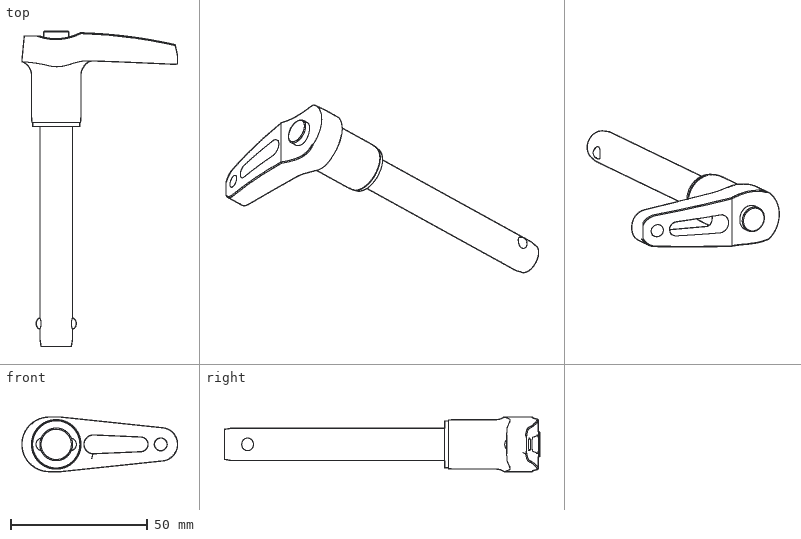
import cadquery as cq
import math


shank_radius = 6.0
shank_length = 80.7
tip_radius = 5.55
tip_taper_length = 2.6
ball_radius = 2.35
ball_reach = 7.4
ball_level = -72.2

sleeve_radius = 9.1
collar_radius = 8.65
collar_height = 1.4
sleeve_taper_radius = 8.95
sleeve_taper_top = 3.5
sleeve_top = 18.8
flare_radius = 5.25
button_radius = 4.65
button_top = 35.0
button_edge = 0.35

total_length = 57.1
total_width = 20.21
half_width = total_width / 2
head_radius = 10.03
head_end = -12.6
tip_end = head_end + total_length
flat_start = -1.4
flat_end = 1.06
side_taper = math.radians(6)
nose_start = 38.9
nose_center = 38.3

underside = sleeve_top + flare_radius
underside_bend_start = 11.4
underside_middle = (21.0, 23.75)
head_top = 33.2
scoop_radius = 20.0
scoop_floor = 32.2
scoop_start = -math.sqrt(scoop_radius**2 - (scoop_radius + scoop_floor - head_top) ** 2)
crest = (8.9, 34.4)
back_middle = (26.0, 33.1)
nose_top = (43.6, 30.0)
nose_face_bottom = 26.0
nose_lip = (43.3, 22.75)
nose_lip_rise = 0.15
top_edge = 0.35

facet_radius = 11.2
facet_tilt = 5.5
facet_top_end = -11.7

slot_start = 10.2
slot_end = 33.6
slot_large_radius = 3.4
slot_small_radius = 2.65
hole_radius = 2.3
hole_center = 38.3

clearance = 10.0


def along_pin(workplane_y):
    """Workplane normal to the pin axis, with local x = X and local y = Z."""
    return cq.Workplane("XZ", origin=(0, workplane_y, 0))


def make_pin():
    """Shank, sleeve and button as one turned body."""
    return (
        cq.Workplane("XY")
        .moveTo(0, -shank_length)
        .lineTo(tip_radius, -shank_length)
        .lineTo(shank_radius, tip_taper_length - shank_length)
        .lineTo(shank_radius, 0)
        .lineTo(collar_radius, 0)
        .lineTo(collar_radius, collar_height)
        .lineTo(sleeve_taper_radius, collar_height)
        .lineTo(sleeve_radius, sleeve_taper_top)
        .lineTo(sleeve_radius, underside)
        .lineTo(button_radius, underside)
        .lineTo(button_radius, button_top - button_edge)
        .lineTo(button_radius - button_edge, button_top)
        .lineTo(0, button_top)
        .close()
        .revolve(360, (0, 0, 0), (0, 1, 0))
    )


def make_balls():
    """Two locking balls on opposite sides of the shank."""
    ball_center = ball_reach - ball_radius
    balls = cq.Workplane("XY").pushPoints([(-ball_center, ball_level), (ball_center, ball_level)])
    return balls.sphere(ball_radius)


def make_outline():
    """Tapered handle outline, extruded along the pin axis over the full handle height."""
    head_center = head_end + head_radius
    blend_angle = 2 * math.atan((half_width - head_radius) / (flat_start - head_center))
    blend_radius = head_radius + (flat_start - head_center) / math.sin(blend_angle)

    def on_blend(angle):
        return (
            flat_start - blend_radius * math.sin(angle),
            half_width - blend_radius * (1 - math.cos(angle)),
        )

    blend_start = on_blend(blend_angle)
    blend_middle = on_blend(blend_angle / 2)
    nose_half_width = half_width - (nose_start - flat_end) * math.tan(side_taper)
    nose_radius = tip_end - nose_center
    nose_diagonal = nose_radius * math.sin(math.pi / 4)
    head_diagonal = head_radius * math.sin(math.pi / 4)

    half = (
        along_pin(sleeve_top)
        .moveTo(head_end, 0)
        .threePointArc((head_center - head_diagonal, head_diagonal), blend_start)
        .threePointArc(blend_middle, (flat_start, half_width))
        .lineTo(flat_end, half_width)
        .lineTo(nose_start, nose_half_width)
        .threePointArc((nose_center + nose_diagonal, nose_diagonal), (tip_end, 0))
        .close()
        .extrude(sleeve_top - button_top)
    )
    return half.union(half.mirror("XY"))


def make_side_body():
    """Side profile of the handle, extruded across its width."""
    nose_slope = (underside_middle[0] - nose_lip[0], underside_middle[1] - nose_lip[1])
    scoop_middle = (0, scoop_floor)
    left = head_end - clearance
    return (
        cq.Workplane("XY")
        .moveTo(left, underside)
        .lineTo(left, head_top)
        .lineTo(scoop_start, head_top)
        .threePointArc(scoop_middle, crest)
        .threePointArc(back_middle, nose_top)
        .lineTo(tip_end, nose_face_bottom)
        .lineTo(tip_end, nose_lip[1] + nose_lip_rise)
        .lineTo(*nose_lip)
        .spline(
            [underside_middle, (underside_bend_start, underside)],
            tangents=[nose_slope, (-1, 0)],
            includeCurrent=True,
        )
        .close()
        .extrude(half_width + clearance, both=True)
    )


def make_flare():
    """Concave flare that widens the sleeve up to the handle underside."""
    outer_radius = sleeve_radius + flare_radius
    arc_offset = flare_radius * math.sin(math.pi / 4)
    return (
        cq.Workplane("XY")
        .moveTo(0, sleeve_top)
        .lineTo(sleeve_radius, sleeve_top)
        .threePointArc((outer_radius - arc_offset, sleeve_top + arc_offset), (outer_radius, underside))
        .lineTo(0, underside)
        .close()
        .revolve(360, (0, 0, 0), (0, 1, 0))
    )


def make_facet_cutter():
    """Stock outside a tilted cylinder, which leaves the head end leaning inward."""
    facet_center = facet_top_end + facet_radius
    height = button_top - sleeve_top
    block = (
        cq.Workplane("XY")
        .box(2 * facet_radius, 2 * height, 4 * facet_radius)
        .translate((facet_center - facet_radius, head_top, 0))
    )
    cylinder = (
        along_pin(head_top)
        .center(facet_center, 0)
        .circle(facet_radius)
        .extrude(2 * height, both=True)
        .rotate((facet_center, head_top, 0), (facet_center, head_top, 1), -facet_tilt)
    )
    return block.cut(cylinder)


def make_slot():
    """Slot with round ends of different size and straight tapered flanks."""
    large_center = slot_start + slot_large_radius
    small_center = slot_end - slot_small_radius
    lean = math.asin((slot_large_radius - slot_small_radius) / (small_center - large_center))

    def flank_point(center, radius, side):
        return (center + radius * math.sin(lean), side * radius * math.cos(lean))

    return (
        along_pin(0)
        .moveTo(*flank_point(large_center, slot_large_radius, 1))
        .lineTo(*flank_point(small_center, slot_small_radius, 1))
        .threePointArc((slot_end, 0), flank_point(small_center, slot_small_radius, -1))
        .lineTo(*flank_point(large_center, slot_large_radius, -1))
        .threePointArc((slot_start, 0), flank_point(large_center, slot_large_radius, 1))
        .close()
        .extrude(-button_top - clearance)
    )


def make_hole():
    """Round lanyard hole near the tip of the handle."""
    return along_pin(0).center(hole_center, 0).circle(hole_radius).extrude(-button_top - clearance)


def soften_top_edges(body):
    """Small bevel along the outline edges of the scoop, the back and the nose."""
    upper_zone = cq.selectors.BoxSelector(
        (scoop_start, nose_face_bottom, -half_width - clearance),
        (tip_end + clearance, button_top, half_width + clearance),
    )
    return body.edges(upper_zone).edges("not |Y").edges("not |Z").chamfer(top_edge)


def make_handle():
    """Handle with its flare, end facet, softened top edges and openings."""
    outline = make_outline()
    body = make_side_body().intersect(outline)
    body = soften_top_edges(body).cut(make_facet_cutter())
    flare = make_flare().intersect(outline)
    return body.union(flare).cut(make_slot()).cut(make_hole())


result = make_pin().union(make_handle()).union(make_balls())